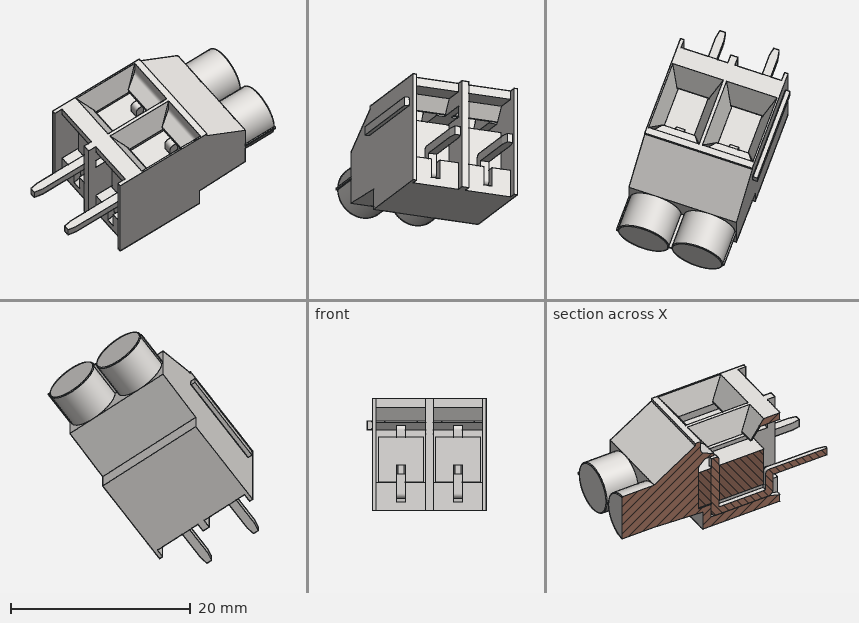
import cadquery as cq


pole_pitch = 6.35
pole_count = 2
pole_centers = [(i - (pole_count - 1) / 2) * pole_pitch for i in range(pole_count)]

housing_width = pole_count * pole_pitch
housing_height = 12.5
rear_face_y = 17.32
top_rear_y = 12.0
top_step = 0.35
rear_top_z = 8.75
base_rear_y = 11.0
base_step_z = 2.4
rear_bottom_z = 2.75
front_recess = 1.0

tube_radius = 3.0
tube_z = (rear_top_z + rear_bottom_z) / 2
tube_end_y = 21.5
tube_chamfer = 0.1
web_thickness = 0.2

rail_width = 0.6
rail_neck = 0.1
rail_bulge = 0.05
rail_bottom_z = 9.0
rail_top_z = 10.0

chamber_width = 5.5
chamber_floor_z = 3.13
chamber_rear_y = 11.5
chamber_ceiling_z = 9.8
chamber_rear_chamfer = 0.8
front_lip_z = 9.98
slab_bottom_z = 11.5
rib_top_z = 8.53

funnel_width = 5.97
funnel_front_y = 3.13
funnel_rear_y = 11.23
throat_width = 3.8
throat_front_y = 4.81
throat_rear_y = 9.53
throat_z = 10.1
funnel_wall = 0.2
scoop_slope = 0.48
scoop_fillet = 0.5

clamp_width = 5.0
clamp_height = 5.0
clamp_bottom_z = 3.2
clamp_front_y = 3.07

pin_size = 1.0
pin_bend_radius = 0.5
pin_bottom_z = 4.1
pin_top_z = pin_bottom_z + pin_size
pin_tip_y = -5.1
pin_taper_length = 1.0
pin_tip_width = 0.65
leg_front_y = 1.88
run_bottom_z = 1.37
tail_front_y = 8.87
tail_rear_y = tail_front_y + pin_size
tail_top_z = 9.5

slot_mouth_z = 0.97


def block(width, y_range, z_range, x_center=0.0):
    """Box given by its width and centre in X and its ranges in Y and Z."""
    depth = y_range[1] - y_range[0]
    height = z_range[1] - z_range[0]
    corner = (x_center - width / 2, y_range[0], z_range[0])
    return cq.Workplane("XY").box(width, depth, height, centered=False).translate(corner)


def side_prism(points, width, x_center=0.0):
    """Side outline given as (Y, Z) points, extruded evenly about x_center."""
    prism = cq.Workplane("YZ").polyline(points).close().extrude(width / 2, both=True)
    return prism.translate((x_center, 0, 0))


def make_shell():
    outline = [
        (0, 0),
        (base_rear_y, 0),
        (base_rear_y, base_step_z),
        (rear_face_y, rear_bottom_z),
        (rear_face_y, rear_top_z),
        (top_rear_y, housing_height - top_step),
        (top_rear_y, housing_height),
        (0, housing_height),
    ]
    return side_prism(outline, housing_width)


def make_tube(x_center):
    tube = cq.Workplane("XZ").center(x_center, tube_z).circle(tube_radius)
    tube = tube.extrude(rear_face_y - tube_end_y)
    tube = tube.translate((0, rear_face_y, 0))
    return tube.faces(">Y").edges().chamfer(tube_chamfer)


def make_web():
    half = web_thickness / 2
    return block(housing_width, (rear_face_y, tube_end_y), (tube_z - half, tube_z + half))


def make_rail():
    """Side rail whose inner face bulges into the housing wall."""
    wall_x = -housing_width / 2
    neck_x = wall_x - rail_neck
    outer_x = wall_x - rail_width
    middle_z = (rail_bottom_z + rail_top_z) / 2
    profile = (
        cq.Workplane("XZ")
        .moveTo(outer_x, rail_bottom_z)
        .lineTo(neck_x, rail_bottom_z)
        .threePointArc((wall_x + rail_bulge, middle_z), (neck_x, rail_top_z))
        .lineTo(outer_x, rail_top_z)
        .close()
    )
    return profile.extrude(front_recess - top_rear_y).translate((0, front_recess, 0))


def make_chamber(x_center):
    """Full-height front recess, and the chamber behind it under the slab and the funnel."""
    recess = block(chamber_width, (0, front_recess), (0, housing_height), x_center)
    funnel_slope = (throat_front_y - funnel_front_y) / (housing_height - throat_z)
    lip_front_y = throat_front_y - funnel_wall
    slab_rear_y = lip_front_y - funnel_slope * (slab_bottom_z - front_lip_z)
    outline = [
        (front_recess, chamber_floor_z),
        (chamber_rear_y, chamber_floor_z),
        (chamber_rear_y, chamber_ceiling_z - chamber_rear_chamfer),
        (chamber_rear_y - chamber_rear_chamfer, chamber_ceiling_z),
        (throat_front_y, chamber_ceiling_z),
        (throat_front_y, front_lip_z),
        (lip_front_y, front_lip_z),
        (slab_rear_y, slab_bottom_z),
        (front_recess, slab_bottom_z),
    ]
    return recess.union(side_prism(outline, chamber_width, x_center))


def make_rib_window():
    """Opening that joins the chambers, above the ribs and below the funnel walls."""
    outline = [
        (front_recess, rib_top_z),
        (chamber_rear_y, rib_top_z),
        (chamber_rear_y, chamber_ceiling_z - chamber_rear_chamfer),
        (chamber_rear_y - chamber_rear_chamfer, chamber_ceiling_z),
        (front_recess, chamber_ceiling_z),
    ]
    return side_prism(outline, pole_centers[-1] - pole_centers[0])


def make_funnel(x_center):
    """Tapered opening, its straight-ended throat, and the scoop in its rear wall."""
    top_depth = funnel_rear_y - funnel_front_y
    throat_depth = throat_rear_y - throat_front_y
    top_center_y = (funnel_rear_y + funnel_front_y) / 2
    throat_center_y = (throat_rear_y + throat_front_y) / 2
    taper = (
        cq.Workplane("XY", origin=(x_center, top_center_y, housing_height))
        .rect(funnel_width, top_depth)
        .workplane(offset=throat_z - housing_height)
        .center(0, throat_center_y - top_center_y)
        .rect(throat_width, throat_depth)
        .loft(ruled=True)
    )

    side_slope = (funnel_width - throat_width) / (housing_height - throat_z)
    outlet_width = throat_width - side_slope * (throat_z - chamber_ceiling_z)
    throat = (
        cq.Workplane("XY", origin=(x_center, throat_center_y, throat_z))
        .rect(throat_width, throat_depth)
        .workplane(offset=chamber_ceiling_z - throat_z)
        .rect(outlet_width, throat_depth)
        .loft(ruled=True)
    )
    return taper.union(throat).union(make_scoop(x_center))


def make_scoop(x_center):
    """Rear scoop: a vertical wall rounded into a shallow slope, between walls that narrow to the front."""
    slope_rear_z = throat_z + scoop_slope * (funnel_rear_y - throat_rear_y)
    profile = [
        (throat_rear_y, throat_z),
        (funnel_rear_y, slope_rear_z),
        (funnel_rear_y, housing_height),
        (throat_rear_y, housing_height),
    ]
    scoop = side_prism(profile, funnel_width, x_center)
    slope_edge = cq.selectors.NearestToPointSelector((x_center, funnel_rear_y, slope_rear_z))
    scoop = scoop.edges("|X").edges(slope_edge).fillet(scoop_fillet)
    plan = [
        (x_center - throat_width / 2, throat_rear_y),
        (x_center + throat_width / 2, throat_rear_y),
        (x_center + funnel_width / 2, funnel_rear_y),
        (x_center - funnel_width / 2, funnel_rear_y),
    ]
    return scoop.intersect(cq.Workplane("XY").polyline(plan).close().extrude(housing_height))


def make_pin_slot(x_center):
    """Slot in the housing floor, with a sloped mouth, that holds the lower run of the pin."""
    outline = [
        (front_recess, slot_mouth_z),
        (leg_front_y + pin_bend_radius, run_bottom_z),
        (tail_rear_y, run_bottom_z),
        (tail_rear_y, chamber_floor_z),
        (front_recess, chamber_floor_z),
    ]
    return side_prism(outline, pin_size, x_center)


def make_housing():
    housing = make_shell().union(make_web()).union(make_rail())
    for x_center in pole_centers:
        housing = housing.union(make_tube(x_center))
    housing = housing.cut(make_rib_window())
    for x_center in pole_centers:
        housing = housing.cut(make_chamber(x_center))
        housing = housing.cut(make_funnel(x_center))
        housing = housing.cut(make_pin_slot(x_center))
    return housing


def make_pin(x_center):
    """Square strip that enters from the front, drops, runs back under the clamp and rises through it."""
    r = pin_bend_radius
    leg_rear_y = leg_front_y + pin_size
    run_top_z = run_bottom_z + pin_size
    outline = [
        (pin_tip_y, pin_bottom_z),
        (leg_front_y, pin_bottom_z),
        (leg_front_y, run_bottom_z),
        (tail_rear_y, run_bottom_z),
        (tail_rear_y, tail_top_z),
        (tail_front_y, tail_top_z),
        (tail_front_y, run_top_z),
        (leg_rear_y, run_top_z),
        (leg_rear_y, pin_top_z),
        (pin_tip_y, pin_top_z),
    ]
    pin = side_prism(outline, pin_size, x_center)
    rounded_corners = [
        (leg_front_y, run_bottom_z),
        (leg_rear_y, pin_top_z),
        (tail_rear_y, run_bottom_z),
        (tail_front_y, tail_top_z),
    ]
    for y, z in rounded_corners:
        corner = cq.selectors.NearestToPointSelector((x_center, y, z))
        pin = pin.edges("|X").edges(corner).fillet(r)

    taper_rear_y = pin_tip_y + pin_taper_length
    plan = [
        (x_center - pin_tip_width / 2, pin_tip_y),
        (x_center + pin_tip_width / 2, pin_tip_y),
        (x_center + pin_size / 2, taper_rear_y),
        (x_center + pin_size / 2, tail_rear_y),
        (x_center - pin_size / 2, tail_rear_y),
        (x_center - pin_size / 2, taper_rear_y),
    ]
    return pin.intersect(cq.Workplane("XY").polyline(plan).close().extrude(housing_height))


def make_clamp(x_center):
    """Clamp block with a square hole for the rising tail of the pin."""
    clamp_top_z = clamp_bottom_z + clamp_height
    z_range = (clamp_bottom_z, clamp_top_z)
    clamp = block(clamp_width, (clamp_front_y, chamber_rear_y), z_range, x_center)
    return clamp.cut(block(pin_size, (tail_front_y, tail_rear_y), z_range, x_center))


housing = make_housing()
clamps = [make_clamp(x_center) for x_center in pole_centers]
pins = [make_pin(x_center) for x_center in pole_centers]

result = cq.Compound.makeCompound([housing.val(), *[body.val() for body in clamps + pins]])